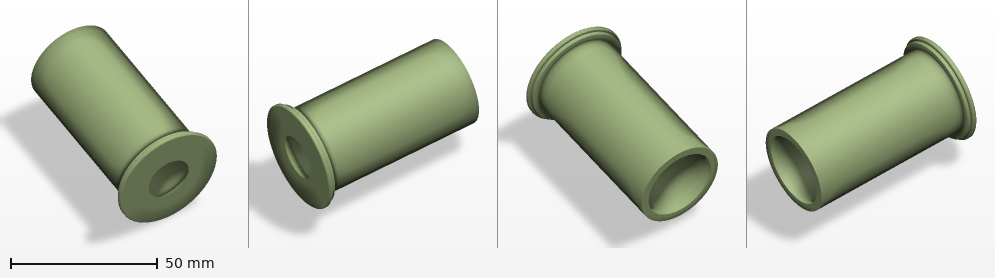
import cadquery as cq

total_length = 63.5
flange_thickness = 1.65
step_thickness = 1.45

tube_diameter = 31.75
step_diameter = 37.0
flange_diameter = 39.0
bore_diameter = 26.0
seat_diameter = 25.0
outlet_diameter = 16.0

flange_chamfer = 0.3
step_chamfer = 0.2

bore_depth = 16.0

flange_start = total_length - flange_thickness
step_start = flange_start - step_thickness

seat_end = bore_depth + (bore_diameter - seat_diameter) / 2
throat_start = total_length - (seat_diameter - outlet_diameter) / 2


def disc(start, length, diameter):
    """Solid cylinder along +X, beginning at the given X position."""
    return cq.Workplane("YZ", origin=(start, 0, 0)).circle(diameter / 2).extrude(length)


def make_body():
    """Tube with a stepped collar at its +X end."""
    tube = disc(0, total_length, tube_diameter)
    step = disc(step_start, step_thickness, step_diameter).edges().chamfer(step_chamfer)
    flange = disc(flange_start, flange_thickness, flange_diameter).edges().chamfer(flange_chamfer)
    return tube.union(step).union(flange)


def make_passage():
    """Bore, conical seat, narrower bore and conical throat, revolved about the X axis."""
    return (
        cq.Workplane("XY")
        .lineTo(0, bore_diameter / 2)
        .lineTo(bore_depth, bore_diameter / 2)
        .lineTo(seat_end, seat_diameter / 2)
        .lineTo(throat_start, seat_diameter / 2)
        .lineTo(total_length, outlet_diameter / 2)
        .lineTo(total_length, 0)
        .close()
        .revolve(360, (0, 0, 0), (1, 0, 0))
    )


result = make_body().cut(make_passage())